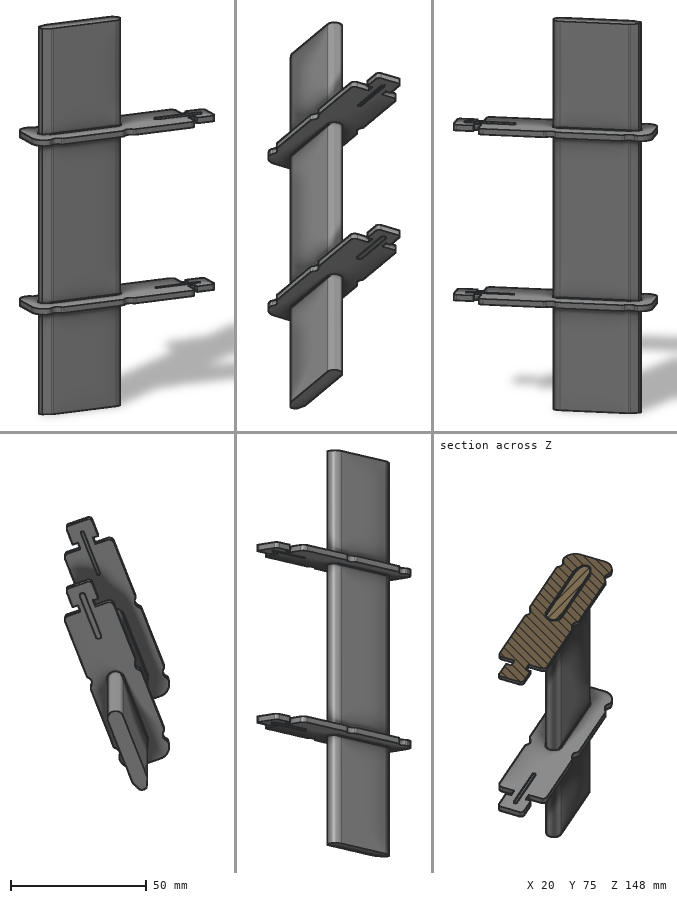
import cadquery as cq
import math

blade_length = 148.0
blade_half_width = 3.0
blade_front = 5.2
blade_back = 38.2
bevel_start = 9.2
bevel_fillet = 1.8
tip_half_width = 1.5
tip_rise = 0.6

plate_thickness = 2.2
plate_outer_z = 33.5
plate_length = 75.0
wide_half_width = 9.99
narrow_half_width = 9.6
shoulder_y = 64.8
neck_half_width = 3.0
head_start = 67.5
head_half_width = 5.0
front_corner_radius = 4.9
shoulder_radius = 1.8
head_radius = 1.3

scallop_ys = (7.7, 37.6)
scallop_radius = 2.5
scallop_center_x = 11.1
scallop_fillet = 1.2

hole_clearance = 0.22
notch_depth = 0.3
notch_clearance = 0.22

bead_front = 52.4
bead_back = 71.6
bead_half_width = 1.0
bead_height = 0.3
bead_fillet = 0.28
groove_half_width = 0.6
groove_depth = 0.5

pick_size = 0.1


def edges_at(x, y):
    """Selector for the upright edges standing at (x, y)."""
    low = (x - pick_size, y - pick_size, -blade_length)
    high = (x + pick_size, y + pick_size, blade_length)
    return cq.selectors.BoxSelector(low, high)


def fillet_pair(body, x, y, radius):
    """Round the upright edges at (x, y) and (-x, y)."""
    for side in (-1, 1):
        body = body.edges(edges_at(side * x, y)).fillet(radius)
    return body


def blade_bar():
    """Full-length bar with a round back edge and a bevelled front edge."""
    round_center = blade_back - blade_half_width
    diagonal = blade_half_width * math.sqrt(0.5)
    tip_y = blade_front + tip_rise
    bar = (
        cq.Workplane("XY")
        .workplane(offset=-blade_length / 2)
        .moveTo(blade_half_width, bevel_start)
        .lineTo(blade_half_width, round_center)
        .threePointArc((diagonal, round_center + diagonal), (0, blade_back))
        .threePointArc((-diagonal, round_center + diagonal), (-blade_half_width, round_center))
        .lineTo(-blade_half_width, bevel_start)
        .lineTo(-tip_half_width, tip_y)
        .threePointArc((0, blade_front), (tip_half_width, tip_y))
        .close()
        .extrude(blade_length)
    )
    return fillet_pair(bar, blade_half_width, bevel_start, bevel_fillet)


def blade_with_notches(bar):
    """Cut a shallow notch into both flats of the bar at each plate."""
    height = plate_thickness + 2 * notch_clearance
    middle_z = plate_outer_z - plate_thickness / 2
    for side in (-1, 1):
        for end in (-1, 1):
            x = side * (2 * blade_half_width - notch_depth)
            notch = cq.Workplane("XY").box(2 * blade_half_width, 2 * plate_length, height)
            bar = bar.cut(notch.translate((x, 0, end * middle_z)))
    return bar


def plate_outline():
    """Flat plate with its outward face at z = plate_thickness, before any cuts."""
    right_side = [
        (narrow_half_width, 0),
        (narrow_half_width, scallop_ys[0]),
        (wide_half_width, scallop_ys[0]),
        (wide_half_width, scallop_ys[1]),
        (narrow_half_width, scallop_ys[1]),
        (narrow_half_width, shoulder_y),
        (neck_half_width, shoulder_y),
        (neck_half_width, head_start),
        (head_half_width, head_start),
        (head_half_width, plate_length),
    ]
    left_side = [(-x, y) for x, y in reversed(right_side)]
    body = cq.Workplane("XY").polyline(right_side + left_side).close().extrude(plate_thickness)
    body = fillet_pair(body, narrow_half_width, 0, front_corner_radius)
    body = fillet_pair(body, narrow_half_width, shoulder_y, shoulder_radius)
    return fillet_pair(body, head_half_width, plate_length, head_radius)


def cut_scallops(body):
    """Cut the round side scallops and round off where they meet the long edges."""
    centers = [(side * scallop_center_x, y) for side in (-1, 1) for y in scallop_ys]
    body = body.cut(cq.Workplane("XY").pushPoints(centers).circle(scallop_radius).extrude(plate_thickness))
    low_y, high_y = scallop_ys
    for half_width, lower, upper in (
        (narrow_half_width, high_y, low_y),
        (wide_half_width, low_y, high_y),
    ):
        reach = math.sqrt(scallop_radius**2 - (scallop_center_x - half_width) ** 2)
        body = fillet_pair(body, half_width, lower + reach, scallop_fillet)
        body = fillet_pair(body, half_width, upper - reach, scallop_fillet)
    return body


def bead_slot(half_width, base_z, height):
    """Round-ended bar along the bead; a narrower bar is shorter by the same margin."""
    length = bead_back - bead_front - 2 * (bead_half_width - half_width)
    return (
        cq.Workplane("XY")
        .workplane(offset=base_z)
        .center(0, (bead_front + bead_back) / 2)
        .slot2D(length, 2 * half_width, 90)
        .extrude(height)
    )


def add_bead(body):
    """Raise the rounded rib and sink the groove behind it."""
    rib = bead_slot(bead_half_width, plate_thickness, bead_height).faces(">Z").edges().fillet(bead_fillet)
    return body.union(rib).cut(bead_slot(groove_half_width, 0, groove_depth))


def end_plate(bar):
    """Upper plate in place, with a clearance hole for the bar."""
    hole = (
        cq.Workplane("XY")
        .add(bar.faces("<Z").wires().val())
        .toPending()
        .offset2D(hole_clearance)
        .extrude(blade_length)
    )
    body = add_bead(cut_scallops(plate_outline()))
    return body.translate((0, 0, plate_outer_z - plate_thickness)).cut(hole)


bar = blade_bar()
blade = blade_with_notches(bar)
upper_plate = end_plate(bar)
plates = [upper_plate, upper_plate.mirror("XY")]

result = cq.Compound.makeCompound([blade.val(), *[plate.val() for plate in plates]])